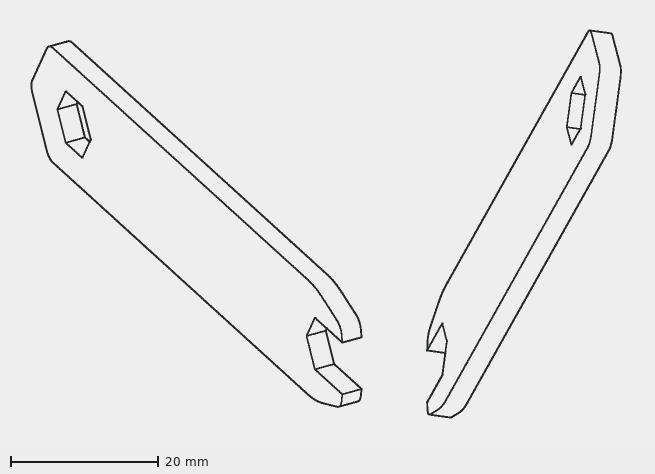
import cadquery as cq
import math

HEX_SIDES = 6

length = 87.38
width = 18.0
thickness = 3.0
hex_across_flats = 8.1
hex_spacing = 70.0

point_half_angle = 60.0
corner_radius = 2.0
point_reach = 12.0

taper_angle = 20.0
shoulder_setback = 2.2
shoulder_radius = 11.0
tip_angle = 80.0
tip_radius = 2.0

half_width = width / 2
half_jaw = hex_across_flats / 2
taper_corner = hex_spacing - shoulder_setback
hex_across_corners = hex_across_flats / math.cos(math.pi / HEX_SIDES)

point_setback = corner_radius * (1 / math.cos(math.radians(90 - point_half_angle)) - 1)
sharp_point = -point_reach - point_setback
point_corner = sharp_point + half_width / math.tan(math.radians(point_half_angle))
jaw_end = length - point_reach


def prong_corner():
    """Sharp corner where the tapered back of the upper prong meets its end."""
    taper_slope = math.tan(math.radians(taper_angle))
    tip_slope = math.tan(math.radians(tip_angle))
    rise = half_width - half_jaw + taper_slope * (taper_corner - jaw_end)
    setback = rise / (tip_slope - taper_slope)
    return jaw_end - setback, half_jaw + setback * tip_slope


def round_corners(body, corners, radius):
    """Round the upright edges at the given (x, z) corners and their mirror images."""
    for x, z in corners:
        for side in {z, -z}:
            edge = cq.selectors.NearestToPointSelector((x, thickness / 2, side))
            body = body.edges("|Y").edges(edge).fillet(radius)
    return body


def make_blank():
    """Rounded plate outline, without the two hexagons."""
    prong_x, prong_z = prong_corner()
    upper = [
        (point_corner, half_width),
        (taper_corner, half_width),
        (prong_x, prong_z),
        (jaw_end, half_jaw),
    ]
    lower = [(x, -z) for x, z in reversed(upper)]
    blank = (
        cq.Workplane("XZ", origin=(0, thickness, 0))
        .polyline([(sharp_point, 0)] + upper + lower)
        .close()
        .extrude(thickness)
    )
    blank = round_corners(blank, [(sharp_point, 0), (point_corner, half_width)], corner_radius)
    blank = round_corners(blank, [(prong_x, prong_z)], tip_radius)
    return round_corners(blank, [(taper_corner, half_width)], shoulder_radius)


def hexagon_cut(center_x):
    """Hexagonal through-cut with its flats facing up and down."""
    return (
        cq.Workplane("XZ", origin=(center_x, thickness, 0))
        .polygon(HEX_SIDES, hex_across_corners)
        .extrude(thickness)
    )


def jaw_opening():
    """Straight slot leading from the jaw hexagon out through the open end."""
    return cq.Workplane("XY").box(
        jaw_end - hex_spacing, thickness, hex_across_flats, centered=(False, False, True)
    ).translate((hex_spacing, 0, 0))


result = make_blank().cut(hexagon_cut(0)).cut(hexagon_cut(hex_spacing)).cut(jaw_opening())